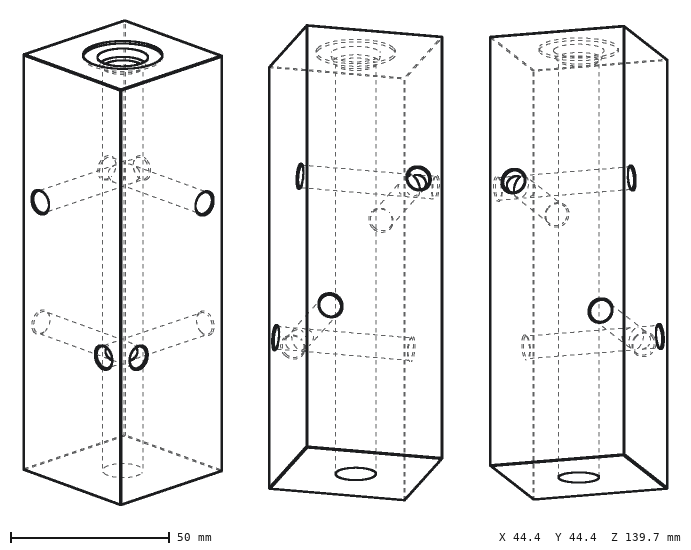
import cadquery as cq

length = 139.7
width = 44.4
edge_chamfer = 0.3

bore_diameter = 12.7
seat_mouth_diameter = 15.9
seat_floor_diameter = 14.4
seat_depth = 2.5
spotface_diameter = 25.0
spotface_depth = 0.8

cross_hole_diameter = 7.1
cross_hole_mouth_diameter = 8.0
cross_hole_offset = 14.4
cross_hole_height = 22.2


def make_block():
    """Square bar with all its outer edges broken."""
    block = cq.Workplane("XY").box(width, width, length)
    return block.edges().chamfer(edge_chamfer)


def make_axial_bore():
    """Revolved cutter for the through bore and the stepped port at its top."""
    top = length / 2
    bore_radius = bore_diameter / 2
    seat_floor_radius = seat_floor_diameter / 2
    spotface_floor = top - spotface_depth
    seat_floor = spotface_floor - seat_depth
    lead_in_floor = seat_floor - (seat_floor_radius - bore_radius)
    return (
        cq.Workplane("XZ")
        .moveTo(0, -top)
        .lineTo(bore_radius, -top)
        .lineTo(bore_radius, lead_in_floor)
        .lineTo(seat_floor_radius, seat_floor)
        .lineTo(seat_mouth_diameter / 2, spotface_floor)
        .lineTo(spotface_diameter / 2, spotface_floor)
        .lineTo(spotface_diameter / 2, top)
        .lineTo(0, top)
        .close()
        .revolve(360, (0, 0, 0), (0, 1, 0))
    )


def make_cross_hole():
    """Cutter along Y through the block, countersunk at both mouths."""
    half_width = width / 2
    hole_radius = cross_hole_diameter / 2
    mouth_radius = cross_hole_mouth_diameter / 2
    countersink_depth = mouth_radius - hole_radius
    return (
        cq.Workplane("XY")
        .moveTo(0, -half_width)
        .lineTo(mouth_radius, -half_width)
        .lineTo(hole_radius, -half_width + countersink_depth)
        .lineTo(hole_radius, half_width - countersink_depth)
        .lineTo(mouth_radius, half_width)
        .lineTo(0, half_width)
        .close()
        .revolve(360, (0, 0, 0), (0, 1, 0))
    )


result = make_block().cut(make_axial_bore())
for side in (-1, 1):
    hole_position = (side * cross_hole_offset, 0, -side * cross_hole_height)
    hole_along_y = make_cross_hole().translate(hole_position)
    hole_along_x = hole_along_y.rotate((0, 0, 0), (0, 0, 1), -90)
    result = result.cut(hole_along_y).cut(hole_along_x)